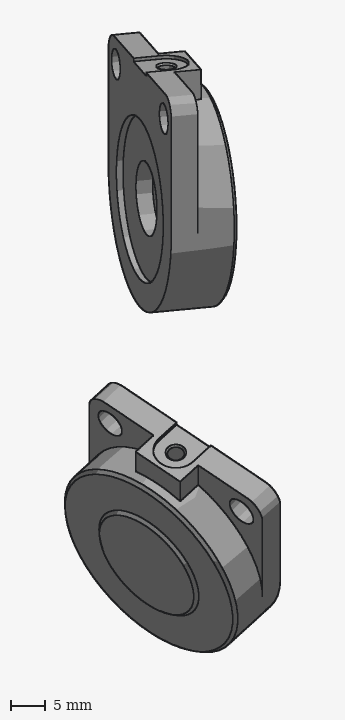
import cadquery as cq

drum_diameter = 33.0
drum_radius = drum_diameter / 2
total_height = 37
top_z = total_height - drum_radius
plate_thickness = 4.0
drum_depth = 10.0
edge_chamfer = 0.5
corner_radius = 3.0

mount_hole_diameter = 4.5
mount_hole_spacing = 25.0
mount_hole_drop = 4.0

block_width = 8.5
block_back = 8.0
flat_width = 6.5
flat_depth = 0.5
port_diameter = 2.45
port_mouth_diameter = 3.0
port_depth = 6.0
port_y = plate_thickness

flange_diameter = 24.5
flange_recess = 1.0
flange_back = 5.0
hub_diameter = 19.0
hub_back = 10.5
bore_diameter = 11.0
bore_depth = 2.5


def cylinder_y(diameter, front, back):
    """Cylinder on the drum axis between two Y positions."""
    return cq.Workplane("XZ", origin=(0, front, 0)).circle(diameter / 2).extrude(front - back)


def make_plate():
    """Mounting plate: straight sides, round bottom and rounded upper corners."""
    return (
        cq.Workplane("XZ")
        .moveTo(-drum_radius, 0)
        .lineTo(-drum_radius, top_z)
        .lineTo(drum_radius, top_z)
        .lineTo(drum_radius, 0)
        .threePointArc((0, -drum_radius), (-drum_radius, 0))
        .close()
        .extrude(-plate_thickness)
        .edges("|Y and >Z")
        .fillet(corner_radius)
    )


def cut_mount_holes(body):
    hole_z = top_z - mount_hole_drop
    holes = (
        cq.Workplane("XZ")
        .pushPoints([(side * mount_hole_spacing / 2, hole_z) for side in (-1, 1)])
        .circle(mount_hole_diameter / 2)
        .extrude(-plate_thickness)
    )
    return body.cut(holes)


def cut_port(body):
    """Flat open to the front face, then the countersunk blind hole in its floor."""
    flat_floor = top_z - flat_depth
    flat = (
        cq.Workplane("XY", origin=(0, 0, flat_floor))
        .moveTo(-flat_width / 2, 0)
        .lineTo(flat_width / 2, 0)
        .lineTo(flat_width / 2, port_y)
        .threePointArc((0, port_y + flat_width / 2), (-flat_width / 2, port_y))
        .close()
        .extrude(flat_depth)
    )
    port_radius = port_diameter / 2
    mouth_radius = port_mouth_diameter / 2
    countersink_z = flat_floor - (mouth_radius - port_radius)
    port_bottom = flat_floor - port_depth
    port = (
        cq.Workplane("XZ", origin=(0, port_y, 0))
        .polyline([
            (0, port_bottom),
            (port_radius, port_bottom),
            (port_radius, countersink_z),
            (mouth_radius, flat_floor),
            (0, flat_floor),
        ])
        .close()
        .revolve(360, (0, 0, 0), (0, 1, 0))
    )
    return body.cut(flat).cut(port)


def make_housing():
    drum = cylinder_y(drum_diameter, 0, drum_depth).faces(">Y").chamfer(edge_chamfer)
    block = cq.Workplane("XY").box(block_width, block_back, top_z, centered=(True, False, False))
    body = cut_mount_holes(make_plate().union(drum).union(block))
    body = cut_port(body)
    flange_seat = cylinder_y(flange_diameter, 0, flange_back)
    hub_seat = cylinder_y(hub_diameter, 0, drum_depth)
    return body.cut(flange_seat).cut(hub_seat)


def make_insert():
    flange = cylinder_y(flange_diameter, flange_recess, flange_back)
    hub_chamfer = hub_back - drum_depth
    hub = cylinder_y(hub_diameter, flange_recess, hub_back).faces(">Y").chamfer(hub_chamfer)
    bore = cylinder_y(bore_diameter, flange_recess, flange_recess + bore_depth)
    return flange.union(hub).cut(bore)


housing = make_housing()
insert = make_insert()
result = cq.Compound.makeCompound([housing.val(), insert.val()])